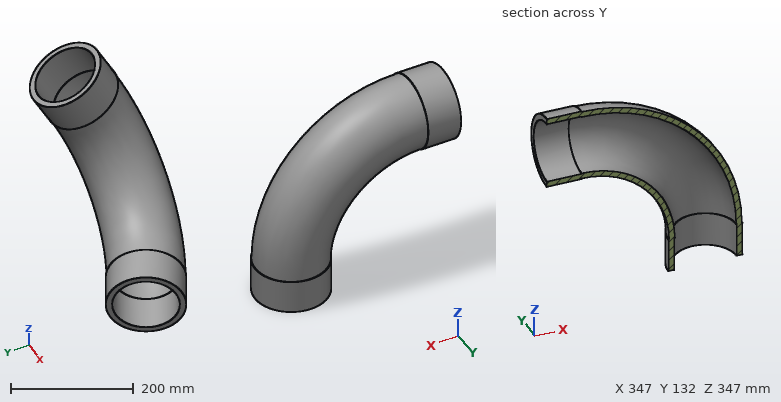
import cadquery as cq

overall = 347.0
collar_diameter = 132.0
collar_bore = 110.0
collar_length = 61.8
bend_diameter = 129.8
bend_bore = 108.0
edge_chamfer = 0.52

collar_radius = collar_diameter / 2
bend_radius = overall - collar_radius - collar_length
bend_angle = 90

inlet_plane = cq.Plane(origin=(0, 0, bend_radius), xDir=(0, 1, 0), normal=(-1, 0, 0))
outlet_plane = cq.Plane(origin=(bend_radius, 0, 0), xDir=(1, 0, 0), normal=(0, 0, -1))


def collar(plane):
    """Straight end collar with chamfered outer edges and mouth, extending outward from the bend."""
    sleeve = cq.Workplane(plane).circle(collar_radius).extrude(collar_length)
    sleeve = sleeve.edges("%CIRCLE").chamfer(edge_chamfer)
    bore = cq.Workplane(plane).circle(collar_bore / 2).extrude(collar_length)
    open_end = cq.selectors.DirectionMinMaxSelector(plane.zDir)
    mouth = cq.selectors.RadiusNthSelector(0)
    return sleeve.cut(bore).faces(open_end).edges(mouth).chamfer(edge_chamfer)


bend = (
    cq.Workplane("XY")
    .center(bend_radius, 0)
    .circle(bend_diameter / 2)
    .circle(bend_bore / 2)
    .revolve(bend_angle, (-bend_radius, 0, 0), (-bend_radius, -1, 0))
)

result = bend.union(collar(inlet_plane)).union(collar(outlet_plane))